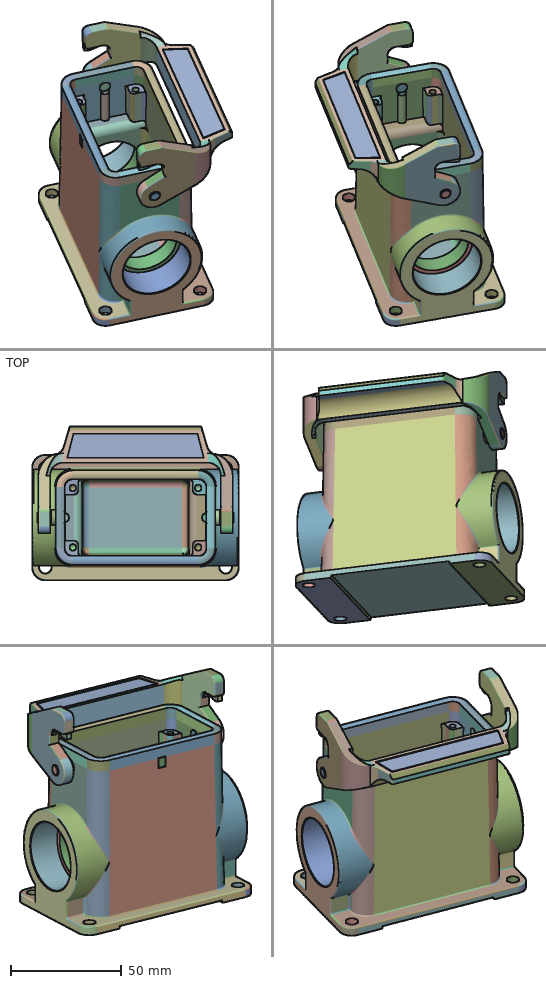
import cadquery as cq
import math

LENGTH = 94.0
OVERALL_WIDTH = 70.0
PLATE_WIDTH = 57.0
PLATE_THICKNESS = 4.0
PLATE_CORNER_RADIUS = 6.0
EDGE_RADIUS = 0.7
FOOT_RECESS_LENGTH = 57.1
FOOT_RECESS_DEPTH = 1.2
FOOT_RECESS_CHAMFER = 0.5
SCREW_HOLE_DIAMETER = 5.6
SCREW_X = 40.9
SCREW_Y = 22.5

WALL_FOOT_LENGTH = 74.4
WALL_FOOT_WIDTH = 44.5
SEAM_FILLET = 0.6
WALL_CORNER_RADIUS = 7.5
RIM_LENGTH = 72.4
RIM_WIDTH = 42.9
RIM_WALL = 4.0
RIM_START_Z = 74.9
RIM_EDGE_Z = 80.1
RIM_CROWN = 0.7
KEY_NOTCH_WIDTH = 3.8
KEY_NOTCH_HEIGHT = 4.8
KEY_NOTCH_DEPTH = 0.5

ENTRY_Z = 30.2
ENTRY_DIAMETER = 43.9
ENTRY_BORE = 28.0
ENTRY_COUNTERBORE = 32.0
PEDESTAL_WIDTH = 25.4
ENTRY_MOUTH_CHAMFER = 0.3

FLOOR_Z = 5.0
FLOOR_FILLET = 2.7
FLOOR_LENGTH = 47.5
FLOOR_WIDTH = 32.6
LEDGE_Z = 52.3
LEDGE_SPAN = 48.7
LEDGE_FILLET = 3.5
CAVITY_LEDGE_LENGTH = 64.0
CAVITY_LEDGE_WIDTH = 34.4
DRAFT_START_Z = LEDGE_Z - LEDGE_FILLET

POST_TOP_Z = 69.4
POST_INNER_X = 26.1
POST_INNER_Y = 10.5
POST_CORNER_RADIUS = 2.0
POST_SIDE_FILLET = POST_INNER_X - LEDGE_SPAN / 2
POST_END_FILLET = 1.0
POST_HOLE_DIAMETER = 3.0
POST_HOLE_DEPTH = 12.1
POST_HOLE_X = 28.5
POST_HOLE_Y = 13.5
DRILL_POINT_ANGLE = 118.0
GUIDE_RIB_DIAMETER = 4.0
GUIDE_RIB_TOP_Z = 68.9

PIVOT_Z = 71.6
PIVOT_BOSS_DIAMETER = 7.0
PIVOT_PIN_DIAMETER = 5.1
PIN_HEAD_HEIGHT = 0.4
SPACER_HEIGHT = 0.5

ARM_SPAN = 88.2
ARM_THICKNESS = 5.3
ARM_EYE_RADIUS = 7.0
ARM_EDGE_RADIUS = 0.4
ARM_SLOPE = 24.8
LEVER_TOP_Z = 100.6
TOP_FLAT_BACK_Y = 3.4
HOOK_FRONT_Y = -7.1
HOOK_CORNER_RADIUS = 3.0
HOOK_TIP_RADIUS = 1.5
TOP_BEND_RADIUS = 2.5
HOOK_MOUTH_Z = 90.8
MOUTH_ARC_Y = 0.7
MOUTH_BACK_Y = 4.8
MOUTH_BACK_LOW_Z = 82.4
TOOTH_WIDTH = 2.4
TOOTH_X = 41.6
TOOTH_BACK_Z = 86.7
TOOTH_ROOF = (0.7, 89.6)
TOOTH_TIP = (-4.0, 88.4)
TOOTH_FRONT_Z = 88.5

BAR_FRONT_Y = 24.9
BAR_BACK_Y = 29.2
BEND_START_Y = 19.0
TAB_TOP_Z = 88.5
TAB_BOTTOM_Z = 83.9
TAB_TIP_CHAMFER_Y = 1.6
TAB_TIP_CHAMFER_Z = 2.2
TAB_UNDERSIDE_Y = 36.5
TAB_UNDERSIDE_RADIUS = 9.1
TAB_EDGE_RADIUS = 0.4
TAB_TIP_HALF = 29.9
TAB_ROOT_HALF = 32.6
TAB_ROOT_Y = 32.2
TAB_FLARE_HALF = 36.2
TAB_FLARE_Y = 28.5
TAB_FLARE_RADIUS = 6.0
TAB_CORNER_RADIUS = 1.0
PANEL_DEPTH = 0.4
PANEL_FRONT_Y = 27.2
PANEL_BACK_Y = 38.1
PANEL_FRONT_HALF = 31.0
PANEL_BACK_HALF = 28.2
SHOULDER_START_X = 32.9
SHOULDER_RADIUS = 8.6

SIDES = (-1, 1)
TOLERANCE = 0.01
DIAGONAL = math.sqrt(0.5)

HALF_LENGTH = LENGTH / 2
CAVITY_LENGTH = RIM_LENGTH - 2 * RIM_WALL
CAVITY_WIDTH = RIM_WIDTH - 2 * RIM_WALL
CAVITY_CORNER_RADIUS = WALL_CORNER_RADIUS - RIM_WALL
ARM_OUTER_X = ARM_SPAN / 2
ARM_INNER_X = ARM_OUTER_X - ARM_THICKNESS
BOSS_END_X = ARM_INNER_X - SPACER_HEIGHT
BAR_MIDDLE_Y = (BAR_FRONT_Y + BAR_BACK_Y) / 2
TAB_TIP_Y = OVERALL_WIDTH - PLATE_WIDTH / 2
SLOPE = math.tan(math.radians(ARM_SLOPE))
BAR_BOTTOM_Z = PIVOT_Z + BAR_BACK_Y * SLOPE - ARM_EYE_RADIUS * math.hypot(1, SLOPE)


def rounded_block(length, width, radius, z_low, z_high):
    block = cq.Workplane("XY").workplane(offset=z_low).rect(length, width).extrude(z_high - z_low)
    return block.edges("|Z").fillet(radius)


def tapered_block(low_size, high_size, radius, z_low, z_high):
    """Rounded block that tapers straight from one rectangle to another."""
    low = cq.Sketch().rect(*low_size).vertices().fillet(radius)
    high = cq.Sketch().rect(*high_size).vertices().fillet(radius)
    wires = cq.Workplane("XY").placeSketch(
        low.moved(cq.Location(cq.Vector(0, 0, z_low))),
        high.moved(cq.Location(cq.Vector(0, 0, z_high))),
    )
    return wires.loft(ruled=True)


def x_cylinder(diameter, x_from, x_to, z):
    """Cylinder along X on the Y = 0 plane."""
    plane = cq.Workplane("YZ").workplane(offset=min(x_from, x_to))
    return plane.center(0, z).circle(diameter / 2).extrude(abs(x_to - x_from))


def spans(edge, axis):
    """Lowest and highest coordinate of an edge along X, Y or Z."""
    box = edge.BoundingBox()
    return {
        "X": (box.xmin, box.xmax), "Y": (box.ymin, box.ymax), "Z": (box.zmin, box.zmax),
    }[axis]


def lies_at(edge, axis, place):
    """True if the whole edge lies in the plane at +place or -place along the axis."""
    low, high = spans(edge, axis)
    return high - low < TOLERANCE and abs(abs(low) - place) < TOLERANCE


def is_foot_outer_edge(edge):
    """Edges of the two end faces and the outer outline of the plate top."""
    low, high = spans(edge, "Z")
    if low < TOLERANCE:
        return False
    reach = max(abs(y) for y in spans(edge, "Y"))
    on_plate_outline = lies_at(edge, "Z", PLATE_THICKNESS) and reach > WALL_FOOT_WIDTH / 2
    return lies_at(edge, "X", HALF_LENGTH) or on_plate_outline


def make_foot():
    """Mounting plate with both cable entries and the pedestals under them."""
    plate = rounded_block(LENGTH, PLATE_WIDTH, PLATE_CORNER_RADIUS, 0, PLATE_THICKNESS)
    pedestal = cq.Workplane("XY").rect(LENGTH, PEDESTAL_WIDTH).extrude(ENTRY_Z)
    entry = x_cylinder(ENTRY_DIAMETER, -HALF_LENGTH, HALF_LENGTH, ENTRY_Z)
    foot = plate.union(pedestal).union(entry)
    outer_edges = [edge for edge in foot.edges().vals() if is_foot_outer_edge(edge)]
    return foot.newObject(outer_edges).fillet(EDGE_RADIUS)


def is_seam_edge(edge):
    """Inner corners where walls, entries, pedestals and plate meet one another."""
    low_z, high_z = spans(edge, "Z")
    starts_at_walls = min(abs(x) for x in spans(edge, "X")) < WALL_FOOT_LENGTH / 2 + TOLERANCE
    reach = max(abs(y) for y in spans(edge, "Y"))
    above_plate = low_z > PLATE_THICKNESS - TOLERANCE
    below_entry_top = high_z < ENTRY_Z + ENTRY_DIAMETER / 2 + TOLERANCE
    return starts_at_walls and reach < WALL_FOOT_WIDTH / 2 + TOLERANCE and above_plate and below_entry_top


def make_walls():
    """Drafted box walls with the upright rim on top."""
    walls = tapered_block(
        (WALL_FOOT_LENGTH, WALL_FOOT_WIDTH), (RIM_LENGTH, RIM_WIDTH),
        WALL_CORNER_RADIUS, PLATE_THICKNESS, RIM_START_Z,
    )
    rim = rounded_block(RIM_LENGTH, RIM_WIDTH, WALL_CORNER_RADIUS, RIM_START_Z, RIM_EDGE_Z)
    return walls.union(rim)


def make_rim_dome():
    """Crowned strip that runs around the top of the rim."""
    middle_line = rounded_block(
        RIM_LENGTH - RIM_WALL, RIM_WIDTH - RIM_WALL, WALL_CORNER_RADIUS - RIM_WALL / 2,
        RIM_EDGE_Z, RIM_EDGE_Z + RIM_CROWN,
    ).faces("<Z").wires().val()
    start = (0, -(RIM_WIDTH - RIM_WALL) / 2, RIM_EDGE_Z)
    crown = cq.Workplane("YZ", origin=start).moveTo(-RIM_WALL / 2, 0)
    crown = crown.threePointArc((0, RIM_CROWN), (RIM_WALL / 2, 0)).close()
    return crown.sweep(cq.Workplane(middle_line))


def make_ledge(side):
    """Shelf over a cable entry, rounded towards the middle of the housing."""
    inner_x = side * LEDGE_SPAN / 2
    round_x = side * (LEDGE_SPAN / 2 + LEDGE_FILLET)
    mid_offset = LEDGE_FILLET * (1 - DIAGONAL)
    return (
        cq.Workplane("XZ").moveTo(inner_x, DRAFT_START_Z)
        .threePointArc((inner_x + side * mid_offset, LEDGE_Z - mid_offset), (round_x, LEDGE_Z))
        .lineTo(side * CAVITY_LENGTH / 2, LEDGE_Z)
        .lineTo(side * CAVITY_LENGTH / 2, DRAFT_START_Z)
        .close()
        .extrude(CAVITY_WIDTH / 2, both=True)
    )


def make_cavity():
    """Inside space: wide above the ledges, narrower and drafted below them."""
    top_z = RIM_EDGE_Z + 2 * RIM_CROWN
    mouth = rounded_block(CAVITY_LENGTH, CAVITY_WIDTH, CAVITY_CORNER_RADIUS, RIM_START_Z, top_z)
    upper = tapered_block(
        (CAVITY_LEDGE_LENGTH, CAVITY_LEDGE_WIDTH), (CAVITY_LENGTH, CAVITY_WIDTH),
        CAVITY_CORNER_RADIUS, DRAFT_START_Z, RIM_START_Z,
    )
    for side in SIDES:
        upper = upper.cut(make_ledge(side))
    floor = cq.Workplane("XY").workplane(offset=FLOOR_Z).rect(FLOOR_LENGTH, FLOOR_WIDTH)
    lower = floor.workplane(offset=DRAFT_START_Z - FLOOR_Z).rect(LEDGE_SPAN, CAVITY_LEDGE_WIDTH)
    lower = lower.loft(ruled=True).edges("not(>Z)").fillet(FLOOR_FILLET)
    return mouth.union(upper).union(lower)


def make_posts():
    """Screw posts in the four corners, blended into the walls beside them."""
    wall_x = CAVITY_LENGTH / 2
    wall_y = CAVITY_WIDTH / 2
    embed = RIM_WALL / 2
    side = POST_SIDE_FILLET
    end = POST_END_FILLET
    round_x = POST_INNER_X + POST_CORNER_RADIUS
    round_y = POST_INNER_Y + POST_CORNER_RADIUS
    post = (
        cq.Workplane("XY").workplane(offset=DRAFT_START_Z)
        .moveTo(POST_INNER_X - side, wall_y)
        .threePointArc(
            (POST_INNER_X - side + side * DIAGONAL, wall_y - side + side * DIAGONAL),
            (POST_INNER_X, wall_y - side),
        )
        .lineTo(POST_INNER_X, round_y)
        .threePointArc(
            (round_x - POST_CORNER_RADIUS * DIAGONAL, round_y - POST_CORNER_RADIUS * DIAGONAL),
            (round_x, POST_INNER_Y),
        )
        .lineTo(wall_x - end, POST_INNER_Y)
        .threePointArc(
            (wall_x - end + end * DIAGONAL, POST_INNER_Y - end + end * DIAGONAL),
            (wall_x, POST_INNER_Y - end),
        )
        .lineTo(wall_x + embed, POST_INNER_Y - end)
        .lineTo(wall_x + embed, wall_y + embed)
        .lineTo(POST_INNER_X - side, wall_y + embed)
        .close()
        .extrude(POST_TOP_Z - DRAFT_START_Z)
    )
    corner_block = rounded_block(
        CAVITY_LENGTH + 2 * embed, CAVITY_WIDTH + 2 * embed, CAVITY_CORNER_RADIUS + embed,
        DRAFT_START_Z, POST_TOP_Z,
    )
    pair = post.union(post.mirror("YZ"))
    return pair.union(pair.mirror("XZ")).intersect(corner_block)


def make_post_holes():
    """Blind drilled holes with a conical bottom."""
    radius = POST_HOLE_DIAMETER / 2
    point = radius / math.tan(math.radians(DRILL_POINT_ANGLE / 2))
    drill = (
        cq.Workplane("XZ")
        .polyline([(0, 0), (radius, 0), (radius, -POST_HOLE_DEPTH), (0, -POST_HOLE_DEPTH - point)])
        .close()
        .revolve(360, (0, 0), (0, 1))
    )
    holes = cq.Workplane("XY")
    for side_x in SIDES:
        for side_y in SIDES:
            place = (side_x * POST_HOLE_X, side_y * POST_HOLE_Y, POST_TOP_Z)
            holes = holes.add(drill.translate(place))
    return holes.combine()


def make_guide_ribs():
    """Half-round upright ribs on the end walls."""
    places = [(side * CAVITY_LENGTH / 2, 0) for side in SIDES]
    start = cq.Workplane("XY").workplane(offset=DRAFT_START_Z)
    return start.pushPoints(places).circle(GUIDE_RIB_DIAMETER / 2).extrude(GUIDE_RIB_TOP_Z - DRAFT_START_Z)


def make_entry_bores():
    """Through bore with a wider, chamfered bore from each end."""
    bores = x_cylinder(ENTRY_BORE, -HALF_LENGTH, HALF_LENGTH, ENTRY_Z)
    for side in SIDES:
        wide = x_cylinder(ENTRY_COUNTERBORE, side * CAVITY_LENGTH / 2, side * HALF_LENGTH, ENTRY_Z)
        bores = bores.union(wide)
    chamfer_start = ENTRY_COUNTERBORE / 2 + ENTRY_MOUTH_CHAMFER
    cone = cq.Solid.makeCone(
        chamfer_start, chamfer_start - ENTRY_MOUTH_CHAMFER, ENTRY_MOUTH_CHAMFER,
        cq.Vector(-HALF_LENGTH, 0, ENTRY_Z), cq.Vector(1, 0, 0),
    )
    mouth = cq.Workplane(cone)
    return bores.union(mouth).union(mouth.mirror("YZ"))


def make_foot_recess():
    """Shallow recess under the plate, open to the front and back."""
    half = FOOT_RECESS_LENGTH / 2
    outline = [
        (-half, 0), (half, 0),
        (half - FOOT_RECESS_CHAMFER, FOOT_RECESS_DEPTH), (FOOT_RECESS_CHAMFER - half, FOOT_RECESS_DEPTH),
    ]
    return cq.Workplane("XZ").polyline(outline).close().extrude(PLATE_WIDTH / 2, both=True)


def make_screw_holes():
    places = [(x * SCREW_X, y * SCREW_Y) for x in SIDES for y in SIDES]
    return cq.Workplane("XY").pushPoints(places).circle(SCREW_HOLE_DIAMETER / 2).extrude(PLATE_THICKNESS)


def make_key_notch():
    """Small notch in the front wall, right under the rim."""
    return cq.Workplane("XY").box(
        KEY_NOTCH_WIDTH, 2 * KEY_NOTCH_DEPTH, KEY_NOTCH_HEIGHT
    ).translate((0, -RIM_WIDTH / 2, RIM_START_Z - KEY_NOTCH_HEIGHT / 2))


def make_pivot_bosses():
    bosses = cq.Workplane("XY")
    wall_middle_x = (RIM_LENGTH - RIM_WALL) / 2
    for side in SIDES:
        bosses = bosses.add(x_cylinder(PIVOT_BOSS_DIAMETER, side * wall_middle_x, side * BOSS_END_X, PIVOT_Z))
    return bosses.combine()


def make_housing():
    shell = make_foot().union(make_walls())
    seams = [edge for edge in shell.edges().vals() if is_seam_edge(edge)]
    shell = shell.newObject(seams).fillet(SEAM_FILLET)
    shell = shell.union(make_rim_dome()).union(make_pivot_bosses())
    shell = shell.cut(make_cavity()).union(make_posts()).cut(make_post_holes())
    shell = shell.union(make_guide_ribs().intersect(make_cavity()))
    shell = shell.cut(make_entry_bores()).cut(make_foot_recess())
    shell = shell.cut(make_screw_holes()).cut(make_key_notch())
    return shell.cut(x_cylinder(PIVOT_PIN_DIAMETER, -ARM_OUTER_X, ARM_OUTER_X, PIVOT_Z))


def eye_point(angle):
    """Point on the round end of the arm, as (y, z); the angle is in radians from +Y."""
    return (ARM_EYE_RADIUS * math.cos(angle), PIVOT_Z + ARM_EYE_RADIUS * math.sin(angle))


def make_arm_side():
    """Side outline of the arms, extruded across the whole lever."""
    end_y = BAR_BACK_Y + ARM_THICKNESS
    low_angle = math.radians(ARM_SLOPE - 90)
    low_y, low_z = eye_point(low_angle)
    mouth_rise = MOUTH_BACK_LOW_Z - PIVOT_Z
    mouth_distance = math.hypot(MOUTH_BACK_Y, mouth_rise)
    high_angle = math.atan2(mouth_rise, MOUTH_BACK_Y) + math.acos(ARM_EYE_RADIUS / mouth_distance)
    front_angle = (high_angle + low_angle + 2 * math.pi) / 2
    mouth_radius = MOUTH_BACK_Y - MOUTH_ARC_Y
    mouth_mid = mouth_radius * DIAGONAL
    outline = (
        cq.Workplane("YZ").workplane(offset=-ARM_OUTER_X)
        .moveTo(low_y, low_z)
        .lineTo(end_y, low_z + (end_y - low_y) * SLOPE)
        .lineTo(end_y, LEVER_TOP_Z - (end_y - TOP_FLAT_BACK_Y) * SLOPE)
        .lineTo(TOP_FLAT_BACK_Y, LEVER_TOP_Z)
        .lineTo(HOOK_FRONT_Y + HOOK_CORNER_RADIUS, LEVER_TOP_Z)
        .radiusArc((HOOK_FRONT_Y, LEVER_TOP_Z - HOOK_CORNER_RADIUS), -HOOK_CORNER_RADIUS)
        .lineTo(HOOK_FRONT_Y, HOOK_MOUTH_Z)
        .lineTo(MOUTH_ARC_Y, HOOK_MOUTH_Z)
        .threePointArc(
            (MOUTH_ARC_Y + mouth_mid, HOOK_MOUTH_Z - mouth_radius + mouth_mid),
            (MOUTH_BACK_Y, HOOK_MOUTH_Z - mouth_radius),
        )
        .lineTo(MOUTH_BACK_Y, MOUTH_BACK_LOW_Z)
        .lineTo(*eye_point(high_angle))
        .threePointArc(eye_point(front_angle), (low_y, low_z))
        .close()
    )
    side = outline.extrude(ARM_SPAN)
    top_bend = cq.selectors.NearestToPointSelector((0, TOP_FLAT_BACK_Y, LEVER_TOP_Z))
    hook_tip = cq.selectors.NearestToPointSelector((0, HOOK_FRONT_Y, HOOK_MOUTH_Z))
    side = side.edges("|X").edges(top_bend).fillet(TOP_BEND_RADIUS)
    return side.edges("|X").edges(hook_tip).fillet(HOOK_TIP_RADIUS)


def make_bow_plan():
    """U-shaped plan of both arms and the bar that joins them."""
    front_y = HOOK_FRONT_Y - ARM_THICKNESS
    outer_radius = BAR_BACK_Y - BEND_START_Y
    inner_radius = BAR_FRONT_Y - BEND_START_Y
    bottom_z = PIVOT_Z - 2 * ARM_EYE_RADIUS
    height = LEVER_TOP_Z + ARM_EYE_RADIUS - bottom_z
    start = cq.Workplane("XY").workplane(offset=bottom_z)

    def u_block(half_span, back_y, radius):
        block = start.moveTo(0, (front_y + back_y) / 2).rect(2 * half_span, back_y - front_y)
        return block.extrude(height).edges("|Z and >Y").fillet(radius)

    outer = u_block(ARM_OUTER_X, BAR_BACK_Y, outer_radius)
    return outer.cut(u_block(ARM_INNER_X, BAR_FRONT_Y, inner_radius))


def make_bar_relief(level_z, direction):
    """Space above (+1) or below (-1) the bar, curving up or down along both arms."""
    turn = DIAGONAL * SHOULDER_RADIUS
    end_x = SHOULDER_START_X + SHOULDER_RADIUS
    end_z = level_z + direction * SHOULDER_RADIUS
    mid_x = SHOULDER_START_X + turn
    mid_z = end_z - direction * turn
    return (
        cq.Workplane("XZ", origin=(0, BEND_START_Y, 0))
        .moveTo(-SHOULDER_START_X, level_z)
        .lineTo(SHOULDER_START_X, level_z)
        .threePointArc((mid_x, mid_z), (end_x, end_z))
        .lineTo(-end_x, end_z)
        .threePointArc((-mid_x, mid_z), (-SHOULDER_START_X, level_z))
        .close()
        .extrude(BEND_START_Y - TAB_TIP_Y)
    )


def is_arm_edge(edge):
    """Outline edges of the arm faces, without the upright seams where the bends start."""
    low_y, high_y = spans(edge, "Y")
    is_bend_seam = high_y - low_y < TOLERANCE and low_y > MOUTH_BACK_Y + TOLERANCE
    on_arm_face = lies_at(edge, "X", ARM_OUTER_X) or lies_at(edge, "X", ARM_INNER_X)
    return on_arm_face and not is_bend_seam


def make_bow():
    """Both arms and the bar, with rounded arm edges."""
    bow = make_arm_side().intersect(make_bow_plan())
    arm_edges = [edge for edge in bow.edges().vals() if is_arm_edge(edge)]
    bow = bow.newObject(arm_edges).fillet(ARM_EDGE_RADIUS)
    return bow.cut(make_bar_relief(TAB_TOP_Z, 1)).cut(make_bar_relief(BAR_BOTTOM_Z, -1))


def make_tab():
    """Finger tab behind the bar, flared where it joins the bar."""
    side = (
        cq.Workplane("YZ").workplane(offset=-TAB_FLARE_HALF)
        .moveTo(BAR_MIDDLE_Y, TAB_TOP_Z)
        .lineTo(TAB_TIP_Y - TAB_TIP_CHAMFER_Y, TAB_TOP_Z)
        .lineTo(TAB_TIP_Y, TAB_TOP_Z - TAB_TIP_CHAMFER_Z)
        .lineTo(TAB_TIP_Y, TAB_BOTTOM_Z)
        .lineTo(TAB_UNDERSIDE_Y, TAB_BOTTOM_Z)
        .radiusArc((BAR_BACK_Y, BAR_BOTTOM_Z), -TAB_UNDERSIDE_RADIUS)
        .lineTo(BAR_MIDDLE_Y, BAR_BOTTOM_Z)
        .close()
        .extrude(2 * TAB_FLARE_HALF)
    )
    plan = (
        cq.Workplane("XY").workplane(offset=PIVOT_Z)
        .moveTo(-TAB_FLARE_HALF, BAR_FRONT_Y)
        .lineTo(TAB_FLARE_HALF, BAR_FRONT_Y)
        .lineTo(TAB_FLARE_HALF, TAB_FLARE_Y)
        .radiusArc((TAB_ROOT_HALF, TAB_ROOT_Y), TAB_FLARE_RADIUS)
        .lineTo(TAB_TIP_HALF, TAB_TIP_Y)
        .lineTo(-TAB_TIP_HALF, TAB_TIP_Y)
        .lineTo(-TAB_ROOT_HALF, TAB_ROOT_Y)
        .radiusArc((-TAB_FLARE_HALF, TAB_FLARE_Y), TAB_FLARE_RADIUS)
        .close()
        .extrude(TAB_TOP_Z - PIVOT_Z)
        .edges("|Z and >Y").fillet(TAB_CORNER_RADIUS)
    )
    tab = side.intersect(plan)
    return tab.faces(">Z").edges("not <Y").fillet(TAB_EDGE_RADIUS)


def make_tab_panel():
    """Shallow panel sunk into the top of the tab."""
    outline = [
        (-PANEL_FRONT_HALF, PANEL_FRONT_Y), (PANEL_FRONT_HALF, PANEL_FRONT_Y),
        (PANEL_BACK_HALF, PANEL_BACK_Y), (-PANEL_BACK_HALF, PANEL_BACK_Y),
    ]
    start = cq.Workplane("XY").workplane(offset=TAB_TOP_Z - PANEL_DEPTH)
    return start.polyline(outline).close().extrude(PANEL_DEPTH)


def make_tooth(side):
    """Narrow latch tooth that lines the roof of the hook mouth."""
    cover_z = HOOK_MOUTH_Z + ARM_EDGE_RADIUS
    cover_y = MOUTH_BACK_Y + ARM_EDGE_RADIUS
    return (
        cq.Workplane("YZ").workplane(offset=side * TOOTH_X - TOOTH_WIDTH / 2)
        .moveTo(MOUTH_BACK_Y, TOOTH_BACK_Z)
        .spline([TOOTH_ROOF, TOOTH_TIP, (HOOK_FRONT_Y, TOOTH_FRONT_Z)], includeCurrent=True)
        .lineTo(HOOK_FRONT_Y, cover_z)
        .lineTo(cover_y, cover_z)
        .lineTo(cover_y, TOOTH_BACK_Z)
        .close()
        .extrude(TOOTH_WIDTH)
    )


def make_pivot(side):
    """Pin through the arm and the housing wall, with a pad against the housing boss."""
    head_x = ARM_OUTER_X + PIN_HEAD_HEIGHT
    pin = x_cylinder(PIVOT_PIN_DIAMETER, side * CAVITY_LENGTH / 2, side * head_x, PIVOT_Z)
    pin = pin.faces(">X" if side > 0 else "<X").chamfer(PIN_HEAD_HEIGHT)
    pad = x_cylinder(PIVOT_BOSS_DIAMETER, side * BOSS_END_X, side * ARM_INNER_X, PIVOT_Z)
    return pin.union(pad)


def make_lever():
    lever = make_bow().union(make_tab()).cut(make_tab_panel())
    for side in SIDES:
        lever = lever.union(make_tooth(side)).union(make_pivot(side))
    return lever


housing = make_housing()
lever = make_lever()

result = cq.Compound.makeCompound([housing.solids().val(), lever.solids().val()])